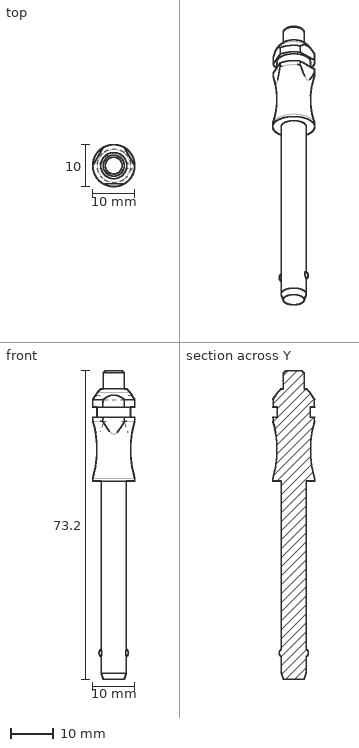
import cadquery as cq
import math


full_turn = 360.0

shank_radius = 3.0
shank_length = 47.0
tip_radius = 2.5
tip_height = 1.5

ball_radius = 1.0
ball_reach = 3.5
ball_above_tip = 6.3

grip_radius = 5.0
waist_radius = 4.0
grip_rim_height = 0.7
waist_height = 7.45
upper_rim_height = 1.0
grip_height = 2 * waist_height - grip_rim_height + upper_rim_height

neck_radius = 4.0
neck_height = 2.4
collar_band_height = 1.75
collar_cone_height = 1.7
collar_cone_angle = 33.0
collar_edge_height = 0.85
collar_top_radius = 3.1

button_radius = 2.5
button_height = 4.3
button_chamfer = 0.5

flat_distance = 4.3
flat_count = 3
first_flat_angle = -90.0

grip_arc_end_z = grip_height - upper_rim_height
collar_z = grip_height + neck_height
cone_z = collar_z + collar_band_height
collar_edge_z = cone_z + collar_cone_height
collar_top_z = collar_edge_z + collar_edge_height
button_top_z = collar_top_z + button_height
cone_top_radius = grip_radius - collar_cone_height * math.tan(math.radians(collar_cone_angle))


def make_shank():
    profile = (
        cq.Workplane("XZ")
        .moveTo(0, -shank_length)
        .lineTo(tip_radius, -shank_length)
        .lineTo(shank_radius, -shank_length + tip_height)
        .lineTo(shank_radius, grip_height)
        .lineTo(0, grip_height)
        .close()
    )
    return profile.revolve(full_turn, (0, 0, 0), (0, 1, 0))


def make_balls():
    center_x = ball_reach - ball_radius
    center_z = -shank_length + ball_above_tip
    centers = [(center_x, 0, center_z), (-center_x, 0, center_z)]
    return cq.Workplane("XY").pushPoints(centers).sphere(ball_radius)


def make_head():
    """Waisted grip, neck and coned collar as one turned profile."""
    profile = (
        cq.Workplane("XZ")
        .moveTo(0, 0)
        .lineTo(grip_radius, 0)
        .lineTo(grip_radius, grip_rim_height)
        .threePointArc((waist_radius, waist_height), (grip_radius, grip_arc_end_z))
        .lineTo(grip_radius, grip_height)
        .lineTo(neck_radius, grip_height)
        .lineTo(neck_radius, collar_z)
        .lineTo(grip_radius, collar_z)
        .lineTo(grip_radius, cone_z)
        .lineTo(cone_top_radius, collar_edge_z)
        .lineTo(collar_top_radius, collar_top_z)
        .lineTo(0, collar_top_z)
        .close()
    )
    return profile.revolve(full_turn, (0, 0, 0), (0, 1, 0))


def cut_flats(head):
    """Cut the flats, evenly spaced about the axis, down the collar and the grip."""
    flat_depth = grip_radius - flat_distance
    flat_length = collar_top_z - waist_height
    cutter = (
        cq.Workplane("XY")
        .box(flat_depth, 2 * grip_radius, flat_length, centered=(False, True, False))
        .translate((flat_distance, 0, waist_height))
    )
    for index in range(flat_count):
        angle = first_flat_angle + index * full_turn / flat_count
        head = head.cut(cutter.rotate((0, 0, 0), (0, 0, 1), angle))
    return head


def make_button():
    button = cq.Workplane("XY").circle(button_radius).extrude(button_top_z)
    return button.faces(">Z").chamfer(button_chamfer)


head = cut_flats(make_head())
result = head.union(make_shank()).union(make_balls()).union(make_button())